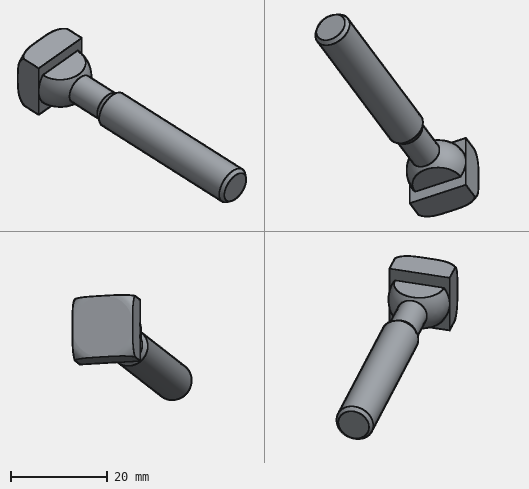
import cadquery as cq
import math

total_length = 56.0

head_width = 13.0
head_thickness = 6.0
corner_rounding = 2.85

ball_radius = head_width / 2
collar_height = 7.6

neck_radius = 3.2
shank_radius = 4.0
neck_end = 19.55
cone_length = 1.35
tip_chamfer_length = 0.85
tip_chamfer_depth = 0.7


def make_head():
    """Square block trimmed by a revolved disc whose front rim is rounded."""
    block = cq.Workplane("YZ").rect(head_width, head_width).extrude(head_thickness)
    face_radius = head_width / 2
    rim_radius = face_radius + corner_rounding
    arc_mid = corner_rounding * math.sqrt(0.5)
    rounded_disc = (
        cq.Workplane("XY")
        .lineTo(0, face_radius)
        .threePointArc(
            (corner_rounding - arc_mid, face_radius + arc_mid),
            (corner_rounding, rim_radius),
        )
        .lineTo(head_thickness, rim_radius)
        .lineTo(head_thickness, 0)
        .close()
        .revolve(360, (0, 0, 0), (1, 0, 0))
    )
    return block.intersect(rounded_disc)


def make_collar():
    """Half ball centred on the back of the head, flattened above and below."""
    arc_mid = ball_radius * math.sqrt(0.5)
    half_ball = (
        cq.Workplane("XY")
        .moveTo(head_thickness, 0)
        .lineTo(head_thickness, ball_radius)
        .threePointArc(
            (head_thickness + arc_mid, arc_mid),
            (head_thickness + ball_radius, 0),
        )
        .close()
        .revolve(360, (0, 0, 0), (1, 0, 0))
    )
    slab = cq.Workplane("XY").box(total_length, 2 * head_width, collar_height)
    return half_ball.intersect(slab)


def make_shank():
    """Neck, cone and chamfered shank as one revolved profile."""
    return (
        cq.Workplane("XY")
        .moveTo(head_thickness, 0)
        .lineTo(head_thickness, neck_radius)
        .lineTo(neck_end, neck_radius)
        .lineTo(neck_end + cone_length, shank_radius)
        .lineTo(total_length - tip_chamfer_length, shank_radius)
        .lineTo(total_length, shank_radius - tip_chamfer_depth)
        .lineTo(total_length, 0)
        .close()
        .revolve(360, (0, 0, 0), (1, 0, 0))
    )


result = make_head().union(make_collar()).union(make_shank())